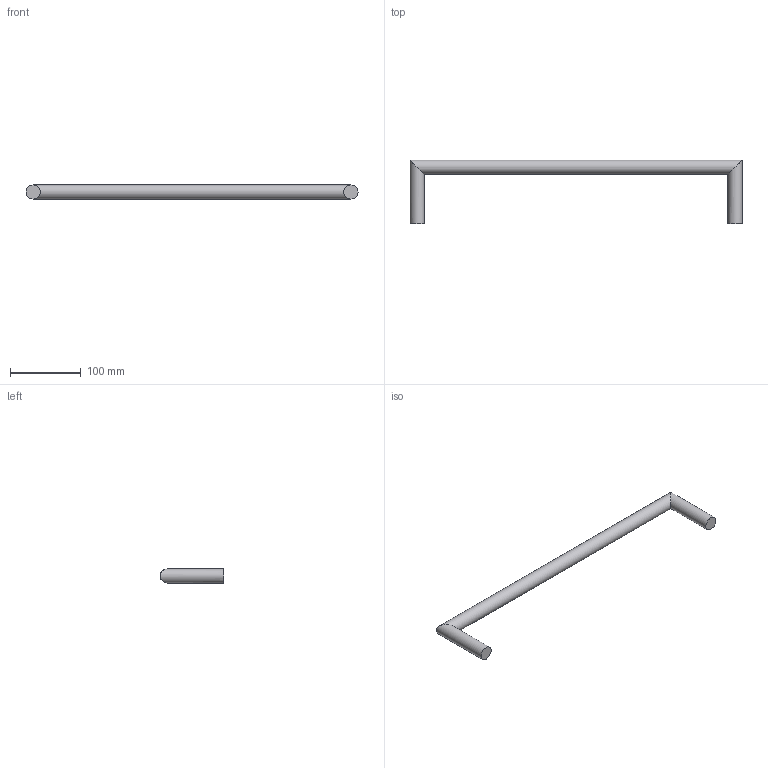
import cadquery as cq

bar_diameter = 20.0
overall_length = 470.0
overall_depth = 90.0

leg_offset = (overall_length - bar_diameter) / 2
grip_offset = overall_depth - bar_diameter / 2


def handle_path():
    """U-shaped centre line running through both legs and the grip."""
    return cq.Workplane("XY").polyline([
        (-leg_offset, 0),
        (-leg_offset, grip_offset),
        (leg_offset, grip_offset),
        (leg_offset, 0),
    ])


def round_bar_handle():
    """Round bar swept along the centre line, with mitred corners."""
    leg_end = cq.Workplane("XZ", origin=(-leg_offset, 0, 0))
    return leg_end.circle(bar_diameter / 2).sweep(handle_path(), transition="right")


result = round_bar_handle()